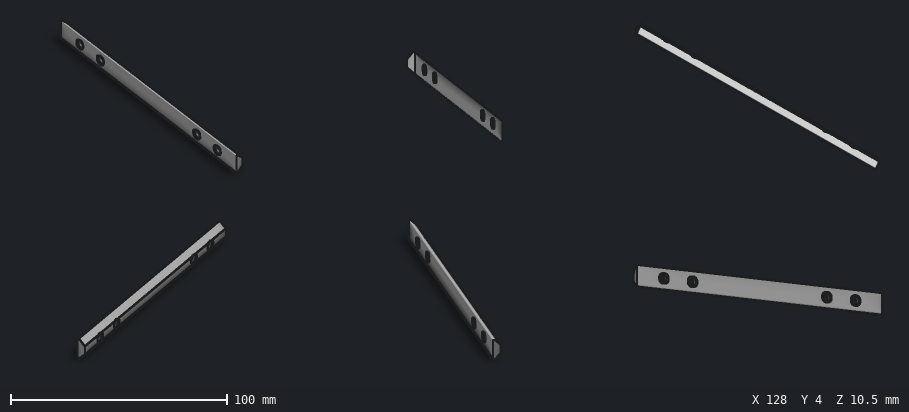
import math

import cadquery as cq

length = 128.0
thickness = 4.0
height = 10.5

edge_radius = 0.69

hole_diameter = 4.1
chamfer_diameter = 5.0
inner_hole_offset = 35.1
hole_pitch = 15.0
outer_hole_offset = inner_hole_offset + hole_pitch

front_y = -thickness / 2
back_y = thickness / 2

sharp_half_height = height / 2 + edge_radius * math.sqrt(2)
back_half_height = sharp_half_height - thickness


def make_bar():
    """Extrude the sharp trapezoid along X and round its two long front edges."""
    profile = [
        (front_y, -sharp_half_height),
        (back_y, -back_half_height),
        (back_y, back_half_height),
        (front_y, sharp_half_height),
    ]
    bar = cq.Workplane("YZ").polyline(profile).close().extrude(length / 2, both=True)
    return bar.faces("<Y").edges("|X").fillet(edge_radius)


def make_hole_cutter(x):
    """Drill along Y at the given X, with a 45 degree cone at each end."""
    radius = hole_diameter / 2
    rim_radius = chamfer_diameter / 2
    depth = rim_radius - radius
    front_point = cq.Vector(x, front_y, 0)
    back_point = cq.Vector(x, back_y, 0)
    inward = cq.Vector(0, 1, 0)
    drill = cq.Solid.makeCylinder(radius, thickness, front_point, inward)
    front_cone = cq.Solid.makeCone(rim_radius, radius, depth, front_point, inward)
    back_cone = cq.Solid.makeCone(rim_radius, radius, depth, back_point, -inward)
    return drill.fuse(front_cone, back_cone)


result = make_bar()
for offset in (inner_hole_offset, outer_hole_offset):
    for side in (-1, 1):
        result = result.cut(cq.Workplane(make_hole_cutter(side * offset)))